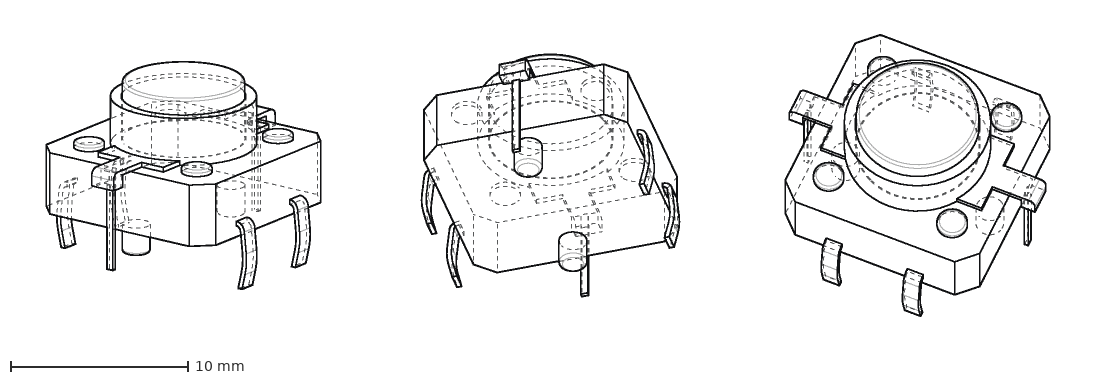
import cadquery as cq
import math

body_side = 11.99
body_height = 3.64
body_corner = 1.08
half_body = body_side / 2

plate_thickness = 0.27
plate_width = 4.61
plate_length = 9.91
tab_width = 1.55
tab_span = 15.16
tab_end_length = 0.85
tab_end_drop = 0.75
tab_bend_radius = 0.41
plate_top = body_height + plate_thickness

pin_width = 0.42
pin_thickness = 0.25
pin_inner_y = 6.67
pin_reach = 2.1

collar_diameter = 8.26
collar_bore = 7.03
collar_top = 6.43
button_diameter = 6.91
button_top = 7.38
button_edge_radius = 0.15

rivet_diameter = 1.73
rivet_height = 0.36
rivet_edge_radius = 0.14
rivet_offset = 3.8

post_diameter = 1.58
post_length = 1.68
post_edge_radius = 0.18
post_offset = 4.44

lead_span = 13.42
lead_thickness = 0.27
lead_width = 0.99
lead_offset = 2.5
lead_bottom = -3.03
lead_bend_radius = 0.56
lead_bend_z = 0.36
lead_bow_radius = 3.76
lead_bow_z = -1.25
lead_foot_lean = math.radians(13)


def cylinder(diameter, bottom, top, x=0, y=0):
    blank = cq.Workplane("XY", origin=(x, y, bottom)).circle(diameter / 2)
    return blank.extrude(top - bottom)


def box(width, y_start, y_end, bottom, top):
    """Block centred on X, between the given Y and Z limits."""
    base = cq.Workplane("XY", origin=(0, (y_start + y_end) / 2, bottom))
    return base.rect(width, y_end - y_start).extrude(top - bottom)


def housing():
    block = cq.Workplane("XY").rect(body_side, body_side).extrude(body_height)
    return block.edges("|Z").chamfer(body_corner)


def cover_plate():
    half_length = plate_length / 2
    return box(plate_width, -half_length, half_length, body_height, plate_top)


def tab_with_pin():
    """Tab and ground pin on the +Y side."""
    tab_tip = tab_span / 2
    strip = box(tab_width, 0, tab_tip, body_height, plate_top)
    end_bottom = body_height - tab_end_drop
    end_block = box(tab_width, tab_tip - tab_end_length, tab_tip, end_bottom, plate_top)
    tab = strip.union(end_block).edges("|X and >Y and >Z").fillet(tab_bend_radius)
    pin_outer_y = pin_inner_y + pin_thickness
    pin = box(pin_width, pin_inner_y, pin_outer_y, -pin_reach, body_height)
    return tab.union(pin)


def collar():
    tube = cylinder(collar_diameter, body_height, collar_top)
    return tube.cut(cylinder(collar_bore, plate_top, collar_top))


def button():
    cap = cylinder(button_diameter, plate_top, button_top)
    return cap.faces(">Z").edges().fillet(button_edge_radius)


def rivet(x, y):
    head = cylinder(rivet_diameter, body_height, body_height + rivet_height, x, y)
    return head.faces(">Z").edges().fillet(rivet_edge_radius)


def post(y):
    peg = cylinder(post_diameter, -post_length, 0, y=y)
    return peg.faces("<Z").edges().fillet(post_edge_radius)


def lead(y):
    """Lead on the +X side: bend at the housing wall, straight run, bowed arc, straight foot."""
    bend_x = half_body
    bow_x = lead_span / 2 - lead_bow_radius
    run_x = bend_x - bow_x
    run_z = lead_bend_z - lead_bow_z
    radius_change = lead_bow_radius - lead_bend_radius
    tangent_offset = math.acos(radius_change / math.hypot(run_x, run_z))
    run_lean = math.atan2(run_z, run_x) - tangent_offset

    def bend_point(inset, angle):
        radius = lead_bend_radius - inset
        return (bend_x + radius * math.cos(angle), lead_bend_z + radius * math.sin(angle))

    def bow_point(inset, angle):
        radius = lead_bow_radius - inset
        return (bow_x + radius * math.cos(angle), lead_bow_z + radius * math.sin(angle))

    def foot_point(inset):
        x, z = bow_point(inset, -lead_foot_lean)
        return (x - (z - lead_bottom) * math.tan(lead_foot_lean), lead_bottom)

    wall_angle = math.pi / 2
    bend_middle = (wall_angle + run_lean) / 2
    bow_middle = (run_lean - lead_foot_lean) / 2
    inner = lead_thickness
    profile = (
        cq.Workplane("XZ", origin=(0, y, 0))
        .moveTo(*bend_point(0, wall_angle))
        .threePointArc(bend_point(0, bend_middle), bend_point(0, run_lean))
        .lineTo(*bow_point(0, run_lean))
        .threePointArc(bow_point(0, bow_middle), bow_point(0, -lead_foot_lean))
        .lineTo(*foot_point(0))
        .lineTo(*foot_point(inner))
        .lineTo(*bow_point(inner, -lead_foot_lean))
        .threePointArc(bow_point(inner, bow_middle), bow_point(inner, run_lean))
        .lineTo(*bend_point(inner, run_lean))
        .threePointArc(bend_point(inner, bend_middle), bend_point(inner, wall_angle))
        .close()
    )
    return profile.extrude(lead_width / 2, both=True)


tab = tab_with_pin()
result = housing().union(cover_plate()).union(tab).union(tab.mirror("XZ"))
result = result.union(collar()).union(button())

for side_y in (-1, 1):
    result = result.union(post(side_y * post_offset))
    terminal = lead(side_y * lead_offset)
    result = result.union(terminal).union(terminal.mirror("YZ"))
    for side_x in (-1, 1):
        result = result.union(rivet(side_x * rivet_offset, side_y * rivet_offset))